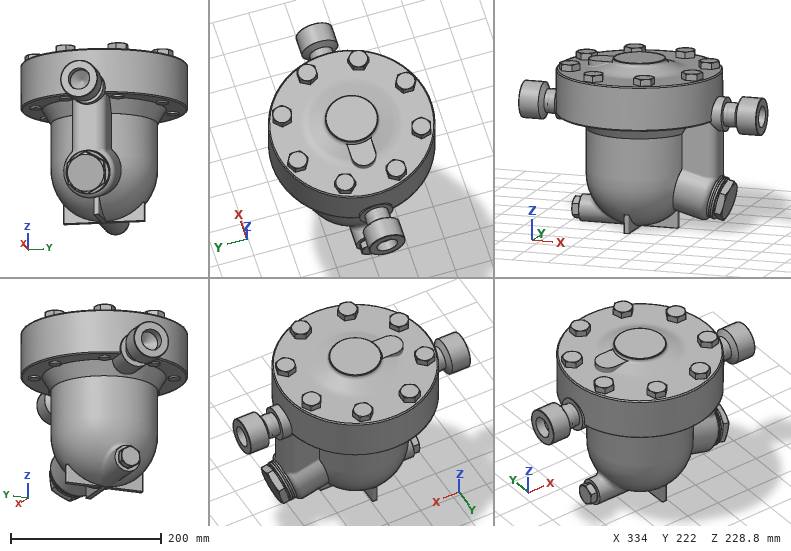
import cadquery as cq
import math


height = 228.8
flange_radius = 222.0 / 2
flange_bottom = 153.3
joint_height = 187.0
flange_top = 214.0
rim_chamfer = 1.7
neck_top_radius = 82.8
neck_bottom = 134.0
body_radius = 71.0
dome_height = 75.5
dome_lowest = 0.7

crown_foot_radius = 67.5
crown_foot_run = 11.7
crown_slope = 20.0
disc_radius = 70 / 2
disc_foot_radius = 38.7
disc_foot_rise = 5.0
disc_chamfer = 1.0
pad_top = 223.8
pad_center_x = -53.8
pad_radius = 16.7
pad_foot_fillet = 1.5

bolt_count = 8
bolt_circle_radius = 93.2
bolt_head_flats = 24.7
bolt_head_height = 9.0
bolt_head_chamfer = 1.0
bolt_shank_diameter = 16.0
bolt_tip_bottom = 151.0

pipe_height = 160.3
overall_length = 334.0
inlet_end_x = -161.5
outlet_end_x = overall_length + inlet_end_x
hub_diameter = 46.0
inlet_hub_length = 112.0
outlet_hub_length = 122.5
socket_diameter = 50.0
socket_length = 27.7
socket_taper_length = 5.0
socket_chamfer = 0.7
pipe_diameter = 32.0
bead_length = 7.0
bead_bulge = 0.7
bead_from_hub = 5.0
bore_diameter = 28.7
bore_depth = 13.0
bore_taper_length = 13.5

rib_width = hub_diameter
rib_end_x = 114.2
rib_corner_radius = 13.5
rib_bottom = 60.0

strainer_tilt = 15.0
strainer_boss_radius = 70 / 2
strainer_boss_end = 110.5
strainer_boss_round = 7.5
strainer_ring_radius = 58.0 / 2
strainer_groove_radius = 28.0
strainer_groove_start = 113.2
strainer_groove_end = 116.0
strainer_ring_end = 119.0
strainer_collar_end = 121.0
strainer_plug_end = 131.3
strainer_hex_flats = 49.5
strainer_hex_chamfer = 1.5
strainer_rib_fillet = 5.5

drain_diameter = 36.0
drain_boss_end = 79.8
drain_blend = 5.7
drain_collar_diameter = 26.7
drain_collar_length = 1.0
drain_plug_end = 91.0
drain_hex_flats = 26.0
drain_hex_chamfer = 1.0

foot_reach = 54.8
foot_thickness = 7.0
foot_height = 25.5
foot_round = 1.0


def revolve_about_z(profile):
    """Turn an (r, z) profile about the vertical axis."""
    return profile.close().revolve(360, (0, 0, 0), (0, 1, 0))


def rod(radius, start, end):
    """Cylinder along +X between two distances."""
    return cq.Workplane("YZ").workplane(offset=start).circle(radius).extrude(end - start)


def hexagon(flats, length, chamfer):
    """Hexagon head along +Z with its outer corners turned down, two vertices on the X axis."""
    corners = flats / math.cos(math.radians(30))
    prism = cq.Workplane("XY").polygon(6, corners).extrude(length)
    turned = cq.Workplane("XY").circle(corners / 2).extrude(length).faces(">Z").chamfer(
        chamfer, (corners - flats) / 2
    )
    return prism.intersect(turned)


def hexagon_along_x(flats, start, end, chamfer):
    """Hexagon head along +X with vertices straight above and below its axis."""
    head = hexagon(flats, end - start, chamfer)
    return head.rotate((0, 0, 0), (0, 1, 0), 90).translate((start, 0, 0))


def make_body():
    """Domed pot with its conical neck and the lower half of the flange."""
    dome_rise = dome_height - dome_lowest
    dome_radius = (body_radius**2 + dome_rise**2) / (2 * dome_rise)
    dome_center = dome_lowest + dome_radius
    mid_angle = math.radians(45)
    dome_mid = (
        dome_radius * math.cos(mid_angle),
        dome_center - dome_radius * math.sin(mid_angle),
    )
    profile = (
        cq.Workplane("XZ")
        .moveTo(0, dome_lowest)
        .threePointArc(dome_mid, (body_radius, dome_height))
        .lineTo(body_radius, neck_bottom)
        .lineTo(neck_top_radius, flange_bottom)
        .lineTo(flange_radius - rim_chamfer, flange_bottom)
        .lineTo(flange_radius, flange_bottom + rim_chamfer)
        .lineTo(flange_radius, joint_height)
        .lineTo(0, joint_height)
    )
    return revolve_about_z(profile)


def make_lid():
    """Lid plate with a raised cone, centre disc and side pad."""
    slope = math.radians(crown_slope)
    cone_start_radius = crown_foot_radius - crown_foot_run
    cone_start_z = flange_top + crown_foot_run * math.tan(slope / 2)
    cone_end_z = cone_start_z + (cone_start_radius - disc_foot_radius) * math.tan(slope)
    profile = (
        cq.Workplane("XZ")
        .moveTo(0, joint_height)
        .lineTo(flange_radius, joint_height)
        .lineTo(flange_radius, flange_top - rim_chamfer)
        .lineTo(flange_radius - rim_chamfer, flange_top)
        .lineTo(crown_foot_radius, flange_top)
        .tangentArcPoint((cone_start_radius, cone_start_z), relative=False)
        .lineTo(disc_foot_radius, cone_end_z)
        .tangentArcPoint((disc_radius, cone_end_z + disc_foot_rise), relative=False)
        .lineTo(disc_radius, height - disc_chamfer)
        .lineTo(disc_radius - disc_chamfer, height)
        .lineTo(0, height)
    )
    lid = revolve_about_z(profile).union(make_lid_pad())
    pad_foot = cq.selectors.BoxSelector(
        (pad_center_x - 2 * pad_radius, -2 * pad_radius, flange_top - rim_chamfer),
        (-disc_foot_radius, 2 * pad_radius, cone_end_z - pad_foot_fillet),
    )
    return lid.edges(pad_foot).fillet(pad_foot_fillet)


def make_lid_pad():
    """Round-ended pad running from the centre disc towards the inlet."""
    base = cq.Workplane("XY").workplane(offset=joint_height)
    depth = pad_top - joint_height
    end = base.center(pad_center_x, 0).circle(pad_radius).extrude(depth)
    bar = base.center(pad_center_x / 2, 0).rect(-pad_center_x, 2 * pad_radius).extrude(depth)
    return end.union(bar)


def make_bolts():
    """Ring of hexagon bolts whose tips show below the flange."""
    head = hexagon(bolt_head_flats, bolt_head_height, bolt_head_chamfer).translate((0, 0, flange_top))
    shank = (
        cq.Workplane("XY")
        .workplane(offset=bolt_tip_bottom)
        .circle(bolt_shank_diameter / 2)
        .extrude(flange_top - bolt_tip_bottom)
    )
    pitch = 360 / bolt_count
    first_angle = math.radians(pitch / 2)
    first_place = (
        bolt_circle_radius * math.cos(first_angle),
        bolt_circle_radius * math.sin(first_angle),
        0,
    )
    first_bolt = head.union(shank).translate(first_place)
    bolts = cq.Workplane("XY")
    for index in range(bolt_count):
        bolts = bolts.add(first_bolt.rotate((0, 0, 0), (0, 0, 1), pitch * index))
    return bolts


def make_connection(hub_length, end):
    """Hub, welded pipe and socket along +X, with a blind socket bore ending in a cone."""
    pipe_radius = pipe_diameter / 2
    socket_radius = socket_diameter / 2
    socket_start = end - socket_length
    bead_start = hub_length + bead_from_hub
    bead_end = bead_start + bead_length
    outline = (
        cq.Workplane("XY")
        .lineTo(0, hub_diameter / 2)
        .lineTo(hub_length, hub_diameter / 2)
        .lineTo(hub_length, pipe_radius)
        .lineTo(bead_start, pipe_radius)
        .threePointArc(
            (bead_start + bead_length / 2, pipe_radius + bead_bulge), (bead_end, pipe_radius)
        )
        .lineTo(socket_start - socket_taper_length, pipe_radius)
        .lineTo(socket_start, socket_radius)
        .lineTo(end - socket_chamfer, socket_radius)
        .lineTo(end, socket_radius - socket_chamfer)
        .lineTo(end, 0)
    )
    bore_radius = bore_diameter / 2
    bore = (
        cq.Workplane("XY")
        .moveTo(end, 0)
        .lineTo(end, bore_radius)
        .lineTo(end - bore_depth, bore_radius)
        .lineTo(end - bore_depth - bore_taper_length, 0)
    )
    solid = outline.close().revolve(360, (0, 0, 0), (1, 0, 0))
    return solid.cut(bore.close().revolve(360, (0, 0, 0), (1, 0, 0)))


def make_rib():
    """Upright passage between the strainer boss and the outlet hub."""
    return (
        cq.Workplane("XY")
        .workplane(offset=rib_bottom)
        .center(rib_end_x / 2, 0)
        .rect(rib_end_x, rib_width)
        .extrude(pipe_height - rib_bottom)
        .edges("|Z and >X")
        .fillet(rib_corner_radius)
    )


def tilt_to_strainer(shape):
    """Lay a shape built along +X onto the strainer axis."""
    return shape.rotate((0, 0, 0), (0, 1, 0), strainer_tilt).translate((0, 0, dome_height))


def make_strainer_boss():
    """Inclined boss joined to the passage rib, with a fillet where they meet."""
    boss = rod(strainer_boss_radius, 0, strainer_boss_end)
    boss = tilt_to_strainer(boss.faces(">X").edges().fillet(strainer_boss_round))
    axis_drop = rib_end_x * math.tan(math.radians(strainer_tilt))
    boss_top = dome_height + strainer_boss_radius
    seam = cq.selectors.BoxSelector(
        (rib_width / 2, -rib_width, boss_top - axis_drop - rib_corner_radius),
        (rib_end_x, rib_width, boss_top),
    )
    return boss.union(make_rib()).edges(seam).fillet(strainer_rib_fillet)


def make_strainer_plug():
    """Grooved ring, round collar and hexagon head closing the strainer boss."""
    ring = rod(strainer_ring_radius, 0, strainer_ring_end)
    groove = rod(strainer_ring_radius, strainer_groove_start, strainer_groove_end).cut(
        rod(strainer_groove_radius, strainer_groove_start, strainer_groove_end)
    )
    ring = ring.cut(groove)
    collar = rod(strainer_hex_flats / 2, 0, strainer_collar_end)
    head = hexagon_along_x(
        strainer_hex_flats, strainer_collar_end, strainer_plug_end, strainer_hex_chamfer
    )
    return tilt_to_strainer(ring.union(collar).union(head))


def place_drain(shape):
    """Lay a shape built along +X onto the drain axis, pointing to -X."""
    return shape.rotate((0, 0, 0), (0, 0, 1), 180).translate((0, 0, drain_diameter / 2))


def make_drain_plug():
    """Round collar and hexagon head closing the drain boss."""
    head_start = drain_boss_end + drain_collar_length
    collar = rod(drain_collar_diameter / 2, 0, head_start)
    head = hexagon_along_x(drain_hex_flats, head_start, drain_plug_end, drain_hex_chamfer)
    return place_drain(collar.union(head))


def make_feet():
    """Thin feet under the dome at -Y, +X and +Y."""
    bar = (
        cq.Workplane("XY")
        .center(foot_reach / 2, 0)
        .rect(foot_reach, foot_thickness)
        .extrude(foot_height)
        .edges("|Z and >X")
        .fillet(foot_round)
    )
    feet = cq.Workplane("XY")
    for angle in (-90, 0, 90):
        feet = feet.add(bar.rotate((0, 0, 0), (0, 0, 1), angle))
    return feet


def union_each(target, shapes):
    """Join every shape in a group to the target."""
    for shape in shapes.vals():
        target = target.union(cq.Workplane(shape))
    return target


drain_boss = place_drain(rod(drain_diameter / 2, 0, drain_boss_end))
drain_seam = cq.selectors.BoxSelector(
    (-drain_boss_end, -drain_diameter, 0), (-drain_diameter / 2, drain_diameter, drain_diameter)
)
result = make_body().union(make_strainer_boss()).union(drain_boss)
result = result.edges(drain_seam).fillet(drain_blend)
result = result.union(make_strainer_plug())

result = result.union(make_lid())

inlet = make_connection(inlet_hub_length, -inlet_end_x).rotate((0, 0, 0), (0, 0, 1), 180)
outlet = make_connection(outlet_hub_length, outlet_end_x)
for connection in (inlet, outlet):
    result = result.union(connection.translate((0, 0, pipe_height)))

result = result.union(make_drain_plug())
result = union_each(result, make_feet())
result = union_each(result, make_bolts())